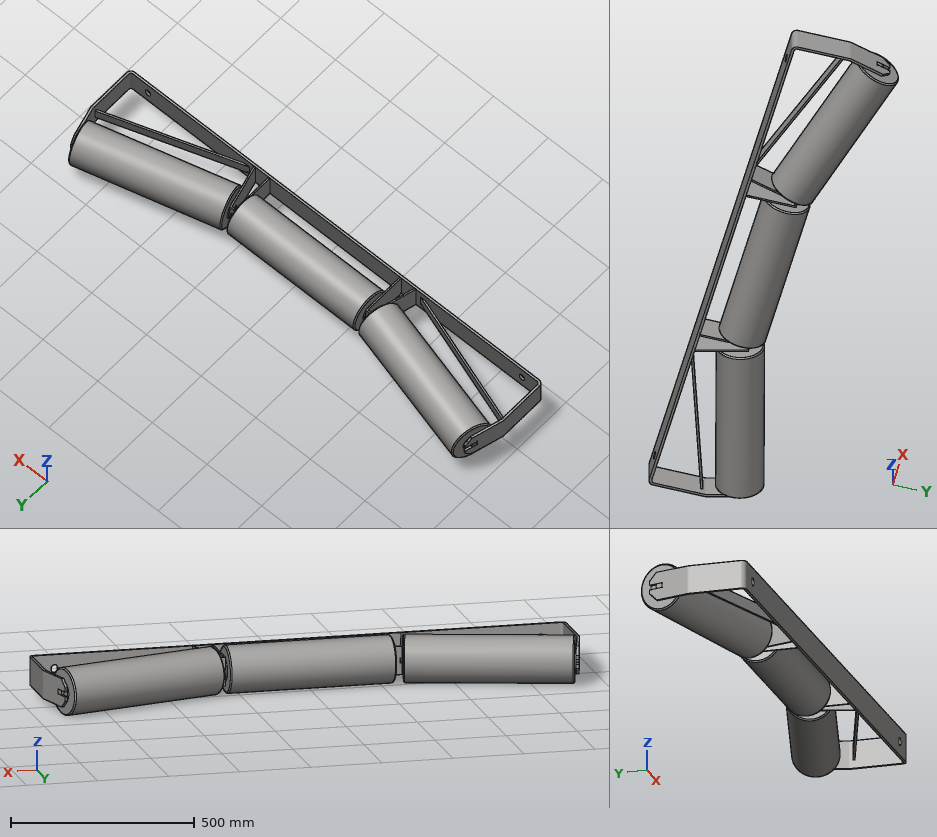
import cadquery as cq
import math


FRAME_LENGTH = 1510.0
STRIP_WIDTH = 80.0
STRIP_THICKNESS = 8.0
CORNER_RADIUS = 15.0
BEND_RADIUS = 21.0
ARM_TIP_RISE = 30.0
ARM_TIP_CHAMFER = 21.0
MOUNT_SLOT_WIDTH = 18.0
MOUNT_SLOT_HEIGHT = 23.0
MOUNT_SLOT_X = 684.0

ROLLER_DIAMETER = 133.0
ROLLER_LENGTH = 468.0
ROLLER_CHAMFER = 3.8
HUB_DIAMETER = 60.0
SHAFT_DIAMETER = 20.0
SHAFT_FLAT_WIDTH = 14.0
ROLLER_GAP = 3.8
CENTRE_AXIS_Y = 125.0
TROUGH_ANGLE = 15.0
WING_CENTRE_X = 494.0
WING_CENTRE_Y = 190.0

BRACKET_THICKNESS = 5.0
BRACKET_TOP_Y = 150.0

STRUT_WIDTH = 33.0
STRUT_THICKNESS = 6.0
STRUT_ARM_Y = 154.0
STRUT_BASE_X = 313.0

SIN = math.sin(math.radians(TROUGH_ANGLE))
COS = math.cos(math.radians(TROUGH_ANGLE))
TAN = SIN / COS
HALF_FRAME = FRAME_LENGTH / 2
PLATE_OFFSET = ROLLER_LENGTH / 2 + ROLLER_GAP
CUT_MARGIN = 15.0


def wing_point(outward, rise):
    """Point in the right wing roller's frame: along its axis and square to it."""
    return (WING_CENTRE_X + outward * COS - rise * SIN,
            WING_CENTRE_Y + outward * SIN + rise * COS)


def place_on_wing(body):
    """Move a body from the origin onto the right wing roller's axis."""
    tilted = body.rotate((0, 0, 0), (0, 0, 1), TROUGH_ANGLE)
    return tilted.translate((WING_CENTRE_X, WING_CENTRE_Y, 0))


def place_on_centre(body):
    """Move a body from the origin onto the centre roller's axis."""
    return body.translate((0, CENTRE_AXIS_Y, 0))


def mirror_left(body):
    """Copy a right-hand body to the left side."""
    return body.mirror("YZ")


def extrude_across(points, width):
    """Extrude a closed XY outline along Z, centred on Z = 0."""
    return cq.Workplane("XY").polyline(points).close().extrude(width / 2, both=True)


def shaft_slot(plate_start, plate_thickness):
    """Cutter for a slot, open at the tip, across a plate square to an axis along X."""
    bottom = -SHAFT_DIAMETER / 2
    height = ARM_TIP_RISE + CUT_MARGIN - bottom
    return (cq.Workplane("XY")
            .box(plate_thickness, height, SHAFT_FLAT_WIDTH, centered=(False, False, True))
            .translate((plate_start, bottom, 0)))


def make_roller(left_plate, right_plate):
    """Roller along X at the origin; each shaft end stops flush with its plate."""
    def cylinder(diameter, start, end):
        return cq.Workplane("YZ").workplane(offset=start).circle(diameter / 2).extrude(end - start)

    half = ROLLER_LENGTH / 2
    shell = cylinder(ROLLER_DIAMETER, -half, half).faces("<X or >X").chamfer(ROLLER_CHAMFER)
    hubs = cylinder(HUB_DIAMETER, -PLATE_OFFSET, PLATE_OFFSET)
    shaft_left = -PLATE_OFFSET - left_plate
    shaft_right = PLATE_OFFSET + right_plate
    flats = (cq.Workplane("XY")
             .box(shaft_right - shaft_left, SHAFT_DIAMETER, SHAFT_FLAT_WIDTH, centered=(False, True, True))
             .translate((shaft_left, 0, 0)))
    shaft = cylinder(SHAFT_DIAMETER, shaft_left, shaft_right).intersect(flats)
    return shell.union(hubs).union(shaft)


def arm_tip_corners():
    """Cutter for the two bevelled corners of an arm tip, square to an axis along X."""
    edge = STRIP_WIDTH / 2
    corner = [(ARM_TIP_RISE, edge), (ARM_TIP_RISE - ARM_TIP_CHAMFER, edge),
              (ARM_TIP_RISE, edge - ARM_TIP_CHAMFER)]
    upper = (cq.Workplane("YZ").workplane(offset=PLATE_OFFSET - CUT_MARGIN)
             .polyline(corner).close()
             .extrude(STRIP_THICKNESS + 2 * CUT_MARGIN))
    return upper.union(upper.mirror("XY"))


def make_frame():
    """Base strip with both ends bent up and then leaned in square to the wing axes."""
    def right_side(inset):
        x_side = HALF_FRAME - inset
        tip_x, tip_y = wing_point(PLATE_OFFSET + STRIP_THICKNESS - inset, ARM_TIP_RISE)
        bend_y = tip_y - (x_side - tip_x) / TAN
        return [(x_side, inset), (x_side, bend_y), (tip_x, tip_y)]

    outer = right_side(0)
    inner = right_side(STRIP_THICKNESS)
    right_half = outer + inner[::-1]
    left_half = [(-x, y) for x, y in reversed(right_half)]
    frame = extrude_across(right_half + left_half, STRIP_WIDTH)

    for side in (-1, 1):
        for face, inset in ((outer, 0), (inner, STRIP_THICKNESS)):
            for (x, y), radius in zip(face, (CORNER_RADIUS, BEND_RADIUS)):
                edge = cq.selectors.NearestToPointSelector((side * x, y, 0))
                frame = frame.edges("|Z").edges(edge).fillet(radius - inset)

    slot = place_on_wing(shaft_slot(PLATE_OFFSET - CUT_MARGIN, STRIP_THICKNESS + 2 * CUT_MARGIN))
    tip_cut = place_on_wing(arm_tip_corners())
    for cutter in (slot, tip_cut):
        frame = frame.cut(cutter).cut(mirror_left(cutter))

    mount_slots = (cq.Workplane("XZ")
                   .pushPoints([(-MOUNT_SLOT_X, 0), (MOUNT_SLOT_X, 0)])
                   .slot2D(MOUNT_SLOT_HEIGHT, MOUNT_SLOT_WIDTH, 90)
                   .extrude(-STRIP_THICKNESS))
    return frame.cut(mount_slots)


def make_bracket():
    """Right inner bracket: an upright leg, a short bridge and a leaning leg."""
    def leaning_x(depth, y):
        face_x, face_y = wing_point(-PLATE_OFFSET - depth, 0)
        return face_x - (y - face_y) * TAN

    base_y = STRIP_THICKNESS
    inner_top = BRACKET_TOP_Y - BRACKET_THICKNESS
    outline = [
        (PLATE_OFFSET, base_y),
        (PLATE_OFFSET, BRACKET_TOP_Y),
        (leaning_x(0, BRACKET_TOP_Y), BRACKET_TOP_Y),
        (leaning_x(0, base_y), base_y),
        (leaning_x(BRACKET_THICKNESS, base_y), base_y),
        (leaning_x(BRACKET_THICKNESS, inner_top), inner_top),
        (PLATE_OFFSET + BRACKET_THICKNESS, inner_top),
        (PLATE_OFFSET + BRACKET_THICKNESS, base_y),
    ]
    centre_slot = place_on_centre(shaft_slot(PLATE_OFFSET, BRACKET_THICKNESS))
    wing_slot = place_on_wing(shaft_slot(-PLATE_OFFSET - BRACKET_THICKNESS, BRACKET_THICKNESS))
    return extrude_across(outline, STRIP_WIDTH).cut(centre_slot).cut(wing_slot)


def make_strut():
    """Right strut: a flat bar running from the frame side down to the base."""
    side_x = HALF_FRAME - STRIP_THICKNESS
    base_y = STRIP_THICKNESS
    slope = math.atan2(STRUT_ARM_Y - base_y, side_x - STRUT_BASE_X)
    outline = [
        (STRUT_BASE_X, base_y),
        (side_x, STRUT_ARM_Y),
        (side_x, STRUT_ARM_Y - STRUT_THICKNESS / math.cos(slope)),
        (STRUT_BASE_X + STRUT_THICKNESS / math.sin(slope), base_y),
    ]
    return extrude_across(outline, STRUT_WIDTH)


frame = make_frame()
centre_roller = place_on_centre(make_roller(BRACKET_THICKNESS, BRACKET_THICKNESS))
wing_roller = place_on_wing(make_roller(BRACKET_THICKNESS, STRIP_THICKNESS))
bracket = make_bracket()
strut = make_strut()

bodies = [frame.val(), centre_roller.val()]
for right_body in (wing_roller, bracket, strut):
    bodies.append(right_body.val())
    bodies.append(mirror_left(right_body).val())

result = cq.Compound.makeCompound(bodies)